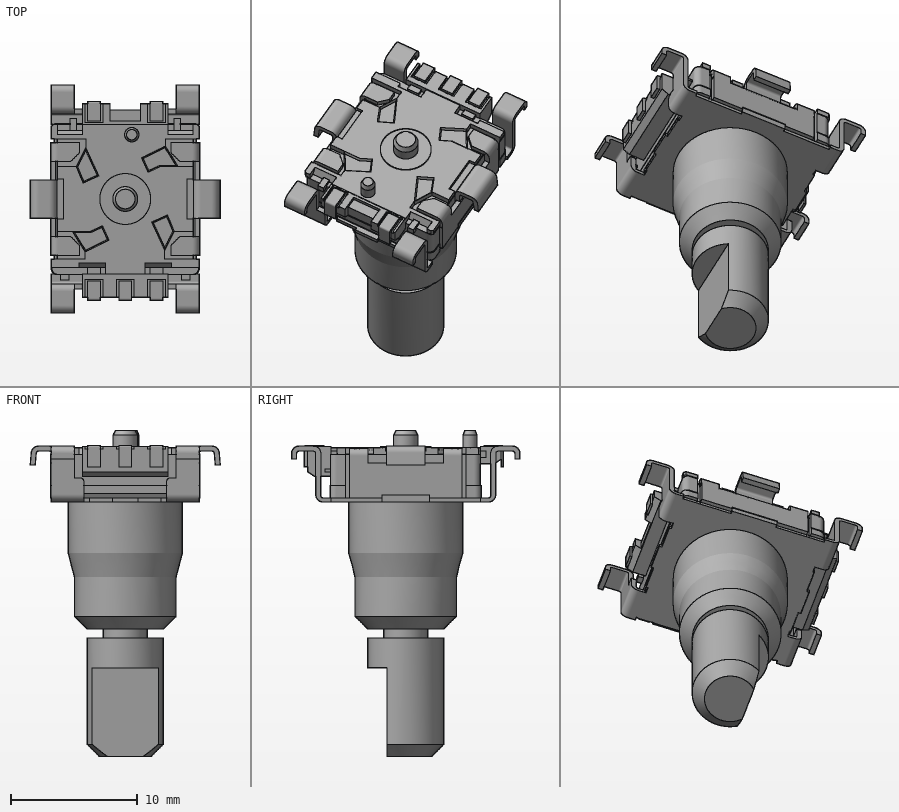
import cadquery as cq
import math


OVERALL_LENGTH = 25.73

BUSHING_R = 4.5
COLLAR_R = 4.01
COLLAR_END_R = 3.0
NECK_R = 1.75
SHAFT_R = 3.0
BUSHING_CONE_TOP = -4.05
BUSHING_CONE_END = -5.92
COLLAR_CHAMFER_TOP = -9
COLLAR_END = -10.0
SHAFT_TOP = -10.7
SHAFT_TIP = -20.07
SHAFT_CHAMFER = 0.98
FLAT_TOP = -13.07
FLAT_Y = -1.5

SHEET = 0.4
BEND_R = 0.6
INNER_BEND_R = BEND_R - SHEET
FRAME_X = 5.85
BASE_THICK = 0.33
LEG_Y = 7.1
LEG_TOP = 4.43
LEG_TIP_Y = 9
LEG_TIP_Z = 3.4
LEG_INNER_X = 4.01
LEG_FOOT_X = 3.27
LEG_FOOT_TOP = 1.9
LEG_FOOT_ROUND = 0.25
BASE_SIDE_X = 5.6
LIP_HALF_X = 1.0
LIP_Y = 6.25
LEDGE_HALF_X = 2.8
LEDGE_Y = 6.05
WALL_X = 5.9
WALL_HALF_Y = 4.43
WALL_TOP = 3.1
WALL_TAB_HALF_Y = 1.88
WALL_TAB_TOP = 0.57
HOOK_ROOT_X = 5.38
HOOK_TIP_X = 7.423
HOOK_FLARE = 0.08
HOOK_TIP_Z = 2.9
HOOK_HALF_Y = 1.52

FLAP_TOP = 4.22
FLAP_END_X = 3.6
FLAP_Y = (2.95, 4.45)
FLAP_CHAMFER = 0.7
FLAP_BEND_R = 0.57

BODY_HALF_X = 5.8
BODY_FRONT_Y = -5.95
BODY_REAR_Y = 5.9
BODY_FOOT_HALF_Y = 5.97
BODY_FOOT_TOP = 1.3
BODY_FOOT_BEVEL_Z = 0.33
BODY_FOOT_BEVEL_Y = 0.15
BODY_SIDE_X = 5.33
FRONT_LUG_X = (4.43, 5.1)
FRONT_LUG_Y = -6.38
FRONT_LUG_Z = (2.4, 2.6)
BODY_CORNER_R = 0.5
COVER_BOTTOM = 3.75
COVER_TOP = 4.3
COVER_SIDE_X = HOOK_ROOT_X
COVER_END_Y = 4.73
COVER_STRIP_Y = 5.4
COVER_CORNER = 0.15
FRONT_NOTCH_X = (1.55, 3.63)
FRONT_NOTCH_TOP_Y = 5.05
FRONT_LEAD_TOP = 4.01
REAR_POCKET_X = (3.37, 5.33)
REAR_POCKET_Y = 5.07
REAR_LUG_X = (3.83, 4.35)
REAR_LUG_Y = 6.33
REAR_LUG_TOP = 4.01
REAR_LUG_BOTTOM = 3.5
HOOK_NOTCH_X = 4.86
HOOK_NOTCH_HALF_Y = 1.6
HOOK_NOTCH_FLOOR = 4.01
FLAP_RECESS_FLOOR = FLAP_TOP - SHEET
GROOVE_FLOOR = 4.1
GROOVE_TAPER = 25
RECESS_EDGE_Y = 2.55
LEFT_RECESS_EDGE = [(-3.11, 4.05), (-3.85, RECESS_EDGE_Y)]
RIGHT_RECESS_EDGE = [(3.16, 4.17), (4.17, RECESS_EDGE_Y)]
LEFT_GROOVE_END = [(-2.08, 1.83), (-3.32, 1.25)]
RIGHT_GROOVE_END = [(1.29, 3.25), (1.8, 2.1), (2.73, RECESS_EDGE_Y)]

HOUSING_HALF_X = 3.37
HOUSING_TOP = 4.4
FRONT_HOUSING_Y = 7.75
FRONT_HOUSING_BOTTOM = 2.03
REAR_HOUSING_Y = 7.51
REAR_HOUSING_BOTTOM = 3.0
HOUSING_BEVEL_Y = 0.55
HOUSING_BEVEL_Z = 0.35
REAR_GAP_HALF_X = 1.18
REAR_GAP_Y = 7.02
REAR_GAP_START_Y = 6.15
REAR_GAP_TOP = 4.12
TERMINAL_PITCH = 2.47
TERMINAL_WIDTH = 1.0
TERMINAL_TOP = 4.48
TERMINAL_BOTTOM = 2.78
TERMINAL_LENGTH = 1.55
TERMINAL_BEND_R = 0.15
FRONT_TERMINAL_Y = 8.0
REAR_TERMINAL_Y = 7.7
TERMINAL_CLEARANCE_X = 0.2
TERMINAL_CLEARANCE_Y = 0.1
TERMINAL_NOTCH_DEPTH = 0.23

DISC_R = 2.0
DISC_TOP = 4.37
HUB_R = 0.98
HUB_TIP_R = 0.77
PIN_X = 0.51
PIN_Y = 5.07
PIN_R = 0.57
PIN_TIP_R = 0.4
POST_SHOULDER = 5.27
POST_TOP = SHAFT_TIP + OVERALL_LENGTH


def block(x0, x1, y0, y1, z0, z1):
    """Axis-aligned block between two corners."""
    return cq.Workplane("XY").box(x1 - x0, y1 - y0, z1 - z0, centered=False).translate((x0, y0, z0))


def prism(points, z0, z1):
    """Vertical prism over a polygon."""
    return cq.Workplane("XY").workplane(offset=z0).polyline(points).close().extrude(z1 - z0)


def side_prism(points, x0, x1):
    """Prism along X over a polygon of (y, z) points."""
    return cq.Workplane("YZ").workplane(offset=x0).polyline(points).close().extrude(x1 - x0)


def with_mirror(shape, plane):
    return shape.union(shape.mirror(plane))


def with_half_turn(shape):
    return shape.union(shape.rotate((0, 0, 0), (0, 0, 1), 180))


def make_shaft():
    profile = [
        (0, BASE_THICK),
        (BUSHING_R, BASE_THICK),
        (BUSHING_R, BUSHING_CONE_TOP),
        (COLLAR_R, BUSHING_CONE_END),
        (COLLAR_R, COLLAR_CHAMFER_TOP),
        (COLLAR_END_R, COLLAR_END),
        (NECK_R, COLLAR_END),
        (NECK_R, SHAFT_TOP),
        (SHAFT_R, SHAFT_TOP),
        (SHAFT_R, SHAFT_TIP + SHAFT_CHAMFER),
        (SHAFT_R - SHAFT_CHAMFER, SHAFT_TIP),
        (0, SHAFT_TIP),
    ]
    shaft = cq.Workplane("XZ").polyline(profile).close().revolve(360, (0, 0, 0), (0, 1, 0))
    flat = block(-SHAFT_R, SHAFT_R, -SHAFT_R, FLAT_Y, SHAFT_TIP, FLAT_TOP)
    return shaft.cut(flat)


def make_post(radius, tip_radius):
    """Round post through the cover with a conical tip."""
    profile = [
        (0, COVER_BOTTOM),
        (radius, COVER_BOTTOM),
        (radius, POST_SHOULDER),
        (tip_radius, POST_TOP),
        (0, POST_TOP),
    ]
    return cq.Workplane("XZ").polyline(profile).close().revolve(360, (0, 0, 0), (0, 1, 0))


def hook_section(plane, root, tip, root_z, tip_z, flare=0):
    """Goose-neck strip section: up at root, outwards along the top, down at the tip with a flare."""
    diagonal = math.sqrt(0.5)
    rise = LEG_TOP - BEND_R
    near = root + BEND_R
    far = tip - BEND_R
    outer = BEND_R * diagonal
    inner = INNER_BEND_R * diagonal
    return (
        cq.Workplane(plane)
        .moveTo(root, root_z)
        .lineTo(root, rise)
        .threePointArc((near - outer, rise + outer), (near, LEG_TOP))
        .lineTo(far, LEG_TOP)
        .threePointArc((far + outer, rise + outer), (tip, rise))
        .lineTo(tip + flare, tip_z)
        .lineTo(tip + flare - SHEET, tip_z)
        .lineTo(tip - SHEET, rise)
        .threePointArc((far + inner, rise + inner), (far, LEG_TOP - SHEET))
        .lineTo(near, LEG_TOP - SHEET)
        .threePointArc((near - inner, rise + inner), (root + SHEET, rise))
        .lineTo(root + SHEET, root_z)
        .close()
    )


def make_leg():
    """Mounting leg at the +X +Y corner, with the wider foot that joins the base plate."""
    width = FRAME_X - LEG_INNER_X
    leg = hook_section("YZ", LEG_Y - SHEET, LEG_TIP_Y, BEND_R, LEG_TIP_Z).extrude(width)
    leg = leg.translate((LEG_INNER_X, 0, 0))
    foot = block(LEG_FOOT_X, FRAME_X, BODY_REAR_Y, LEG_Y, 0, LEG_FOOT_TOP)
    foot = foot.edges("|X and >Y and <Z").fillet(BEND_R)
    hollow = block(LEG_FOOT_X, FRAME_X, BODY_REAR_Y, LEG_Y - SHEET, BASE_THICK, LEG_FOOT_TOP)
    hollow = hollow.edges("|X and >Y and <Z").fillet(INNER_BEND_R)
    foot = foot.cut(hollow).edges("|Y and <X and >Z").fillet(LEG_FOOT_ROUND)
    return leg.union(foot)


def make_frame():
    base = block(-BASE_SIDE_X, BASE_SIDE_X, BODY_FRONT_Y, BODY_REAR_Y, 0, BASE_THICK)
    lip = block(-LIP_HALF_X, LIP_HALF_X, -LIP_Y, LIP_Y, 0, BASE_THICK)
    ledge = block(-LEDGE_HALF_X, LEDGE_HALF_X, -LEDGE_Y, LEDGE_Y, 0, BASE_THICK)
    legs = with_mirror(with_mirror(make_leg(), "YZ"), "XZ")
    return base.union(lip).union(ledge).union(legs).union(with_mirror(make_side_wall(), "YZ"))


def make_side_wall():
    """+X frame wall with its base tab, hook and clip flaps."""
    inner = WALL_X - SHEET
    wall = block(inner, WALL_X, -WALL_HALF_Y, WALL_HALF_Y, BASE_THICK, WALL_TOP)
    tab_range = (-WALL_TAB_HALF_Y, WALL_TAB_HALF_Y, 0, WALL_TAB_TOP)
    wall = wall.cut(block(inner, WALL_X, *tab_range)).union(block(inner, FRAME_X, *tab_range))
    hook = hook_section("XZ", HOOK_ROOT_X, HOOK_TIP_X, WALL_TAB_TOP, HOOK_TIP_Z, HOOK_FLARE)
    wall = wall.union(hook.extrude(HOOK_HALF_Y, both=True))
    return wall.union(with_mirror(make_flap(), "XZ"))


def make_flap():
    """Clip flap on the +X wall: up the wall, rounded over, then flat towards the middle."""
    y0, y1 = FLAP_Y
    flap = block(FLAP_END_X, WALL_X, y0, y1, WALL_TOP, FLAP_TOP)
    flap = flap.edges("|Y and >X and >Z").fillet(FLAP_BEND_R)
    flap = flap.cut(block(FLAP_END_X, WALL_X - SHEET, y0, y1, WALL_TOP, FLAP_TOP - SHEET))
    corner = [(FLAP_END_X, y0), (FLAP_END_X + FLAP_CHAMFER, y0), (FLAP_END_X, y0 + FLAP_CHAMFER)]
    return flap.cut(prism(corner, WALL_TOP, FLAP_TOP))


def make_body():
    body = block(-BODY_HALF_X, BODY_HALF_X, BODY_FRONT_Y, BODY_REAR_Y, BASE_THICK, COVER_BOTTOM)
    foot = block(-FRAME_X, FRAME_X, -BODY_FOOT_HALF_Y, BODY_FOOT_HALF_Y, BASE_THICK, BODY_FOOT_TOP)
    body = body.edges("|Z").fillet(BODY_CORNER_R).union(foot.edges("|Z").fillet(BODY_CORNER_R))
    bevel = side_prism(
        [(BODY_FOOT_HALF_Y, BASE_THICK), (BODY_FOOT_HALF_Y, BASE_THICK + BODY_FOOT_BEVEL_Z),
         (BODY_FOOT_HALF_Y - BODY_FOOT_BEVEL_Y, BASE_THICK)], -LEG_FOOT_X, LEG_FOOT_X)
    side_clearance = block(BODY_SIDE_X, FRAME_X, -COVER_END_Y, COVER_END_Y, BASE_THICK, COVER_BOTTOM)
    body = body.cut(with_mirror(bevel, "XZ")).cut(with_mirror(side_clearance, "YZ"))
    lug = block(*FRONT_LUG_X, FRONT_LUG_Y, -COVER_STRIP_Y, *FRONT_LUG_Z)
    return body.union(with_mirror(lug, "YZ"))


def make_cover():
    height = (COVER_BOTTOM, COVER_TOP)
    cover = block(-FRAME_X, FRAME_X, BODY_FRONT_Y, BODY_REAR_Y, *height)
    cover = cover.edges("|Z").chamfer(COVER_CORNER)
    side_cut = block(COVER_SIDE_X, FRAME_X, -COVER_END_Y, COVER_END_Y, *height)
    hook_notch = block(HOOK_NOTCH_X, COVER_SIDE_X, -HOOK_NOTCH_HALF_Y, HOOK_NOTCH_HALF_Y,
                       HOOK_NOTCH_FLOOR, COVER_TOP)
    front_ledge = block(FRONT_NOTCH_X[1], FRAME_X, BODY_FRONT_Y, -COVER_STRIP_Y, *height)
    front_notch = side_prism(
        [(BODY_FRONT_Y, COVER_BOTTOM), (-COVER_STRIP_Y, COVER_BOTTOM),
         (-FRONT_NOTCH_TOP_Y, COVER_TOP), (BODY_FRONT_Y, COVER_TOP)], *FRONT_NOTCH_X)
    rear_pocket = side_prism(
        [(BODY_REAR_Y, COVER_BOTTOM), (COVER_STRIP_Y, COVER_BOTTOM),
         (REAR_POCKET_Y, COVER_TOP), (BODY_REAR_Y, COVER_TOP)], *REAR_POCKET_X)
    for cutter in (side_cut, hook_notch, front_ledge, front_notch, rear_pocket):
        cover = cover.cut(with_mirror(cutter, "YZ"))
    lug = block(*REAR_LUG_X, COVER_STRIP_Y, REAR_LUG_Y, REAR_LUG_BOTTOM, REAR_LUG_TOP)
    half = TERMINAL_WIDTH / 2
    lead = block(TERMINAL_PITCH - half, TERMINAL_PITCH + half, BODY_FRONT_Y, -COVER_STRIP_Y,
                 COVER_BOTTOM, FRONT_LEAD_TOP)
    return cut_grooves(cover.union(with_mirror(lug.union(lead), "YZ")))


def cut_grooves(cover):
    """Clip recesses at the four corners and the slanted spring-arm grooves that leave them."""
    left = (-COVER_SIDE_X, LEFT_RECESS_EDGE, LEFT_GROOVE_END)
    right = (COVER_SIDE_X, RIGHT_RECESS_EDGE, RIGHT_GROOVE_END)
    for side_x, (rear_point, front_point), groove_end in (left, right):
        recess = [(side_x, COVER_END_Y), (rear_point[0], COVER_END_Y), rear_point, front_point,
                  (side_x, RECESS_EDGE_Y)]
        groove = [rear_point, *groove_end, front_point]
        cover = cover.cut(with_half_turn(prism(recess, FLAP_RECESS_FLOOR, COVER_TOP)))
        arm = (cq.Workplane("XY").workplane(offset=COVER_TOP).polyline(groove).close()
               .extrude(GROOVE_FLOOR - COVER_TOP, taper=GROOVE_TAPER))
        cover = cover.cut(with_half_turn(arm))
    return cover


def make_housing(reach, bottom, terminal_tip, terminal_places):
    """Terminal housing on the +Y side, with a terminal bent over its top at each place."""
    outline = [
        (COVER_STRIP_Y, bottom),
        (reach - HOUSING_BEVEL_Y, bottom),
        (reach, bottom + HOUSING_BEVEL_Z),
        (reach, HOUSING_TOP),
        (BODY_REAR_Y, HOUSING_TOP),
        (BODY_REAR_Y, COVER_BOTTOM),
        (COVER_STRIP_Y, COVER_BOTTOM),
    ]
    housing = side_prism(outline, -HOUSING_HALF_X, HOUSING_HALF_X)
    start = terminal_tip - TERMINAL_LENGTH
    floor = HOUSING_TOP - TERMINAL_NOTCH_DEPTH
    half = TERMINAL_WIDTH / 2
    notch_half = half + TERMINAL_CLEARANCE_X
    for x in terminal_places:
        notch = block(x - notch_half, x + notch_half, start - TERMINAL_CLEARANCE_Y, reach,
                      floor, HOUSING_TOP)
        top = block(x - half, x + half, start, terminal_tip, floor, TERMINAL_TOP)
        end = block(x - half, x + half, reach, terminal_tip, TERMINAL_BOTTOM, TERMINAL_TOP)
        terminal = top.union(end).edges("|X and >Y and >Z").fillet(TERMINAL_BEND_R)
        housing = housing.cut(notch).union(terminal)
    return housing


def make_front_housing():
    places = (-TERMINAL_PITCH, 0, TERMINAL_PITCH)
    return make_housing(FRONT_HOUSING_Y, FRONT_HOUSING_BOTTOM, FRONT_TERMINAL_Y, places).mirror("XZ")


def make_rear_housing():
    places = (-TERMINAL_PITCH, TERMINAL_PITCH)
    housing = make_housing(REAR_HOUSING_Y, REAR_HOUSING_BOTTOM, REAR_TERMINAL_Y, places)
    gap = REAR_GAP_HALF_X
    housing = housing.cut(block(-gap, gap, REAR_GAP_Y, REAR_HOUSING_Y, REAR_HOUSING_BOTTOM, HOUSING_TOP))
    return housing.cut(block(-gap, gap, REAR_GAP_START_Y, REAR_GAP_Y, REAR_GAP_TOP, HOUSING_TOP))


def make_disc():
    """Low round pad around the hub."""
    return cq.Workplane("XY").workplane(offset=COVER_BOTTOM).circle(DISC_R).extrude(DISC_TOP - COVER_BOTTOM)


result = make_shaft()
result = result.union(make_frame()).union(make_body())
result = result.union(make_front_housing()).union(make_rear_housing())
result = result.union(make_cover()).union(make_disc())
result = result.union(make_post(HUB_R, HUB_TIP_R))
result = result.union(make_post(PIN_R, PIN_TIP_R).translate((PIN_X, PIN_Y, 0)))